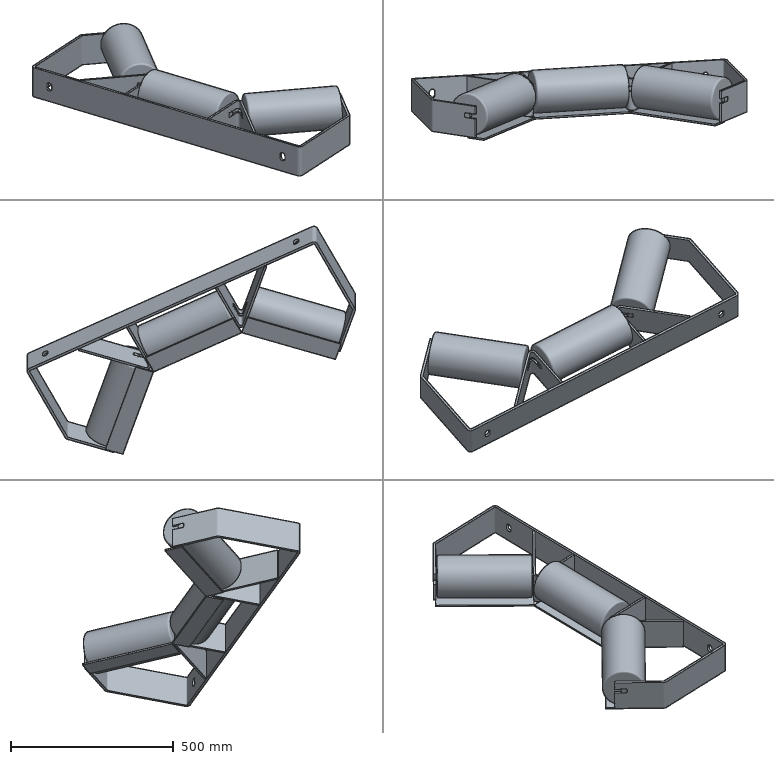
import cadquery as cq
import math


strip_height = 100.0
trough_angle = 45.0
roller_space = 299.0

frame_length = 1000.0
frame_thickness = 8.0
frame_bend_radius = 12.0
arm_length = 155.0
mount_slot_width = 18.0
mount_slot_height = 27.0
mount_slot_x = 433.0

bracket_thickness = 7.0
bracket_bend_radius = 14.0

roller_diameter = 133.0
roller_length = 292.0
rim_radius = 5.5
axle_diameter = 20.0
axle_flats = 15.0
axle_z = 67.5
level_roller_y = 126.0
side_roller_x = -299.5
side_roller_y = 249.84

guard_length = 303.0
guard_width = 56.5
guard_thickness = 5.5

seat_reach = 60.0
seat_overrun = 5.0

half_length = frame_length / 2
half_space = roller_space / 2
half_roller = roller_length / 2
cos_trough = math.cos(math.radians(trough_angle))
sin_trough = math.sin(math.radians(trough_angle))

axle_length = roller_space + 2 * bracket_thickness
seat_end = axle_length / 2 + seat_overrun

arm_offset = half_space + frame_thickness
arm_face_x = side_roller_x - arm_offset * cos_trough
arm_face_y = side_roller_y + arm_offset * sin_trough
side_corner_y = arm_face_y - (arm_face_x + half_length) * math.tan(math.radians(90 - trough_angle))

leg_face_x = side_roller_x + half_space * cos_trough
leg_face_y = side_roller_y - half_space * sin_trough


def place_level(body):
    return body.translate((0, level_roller_y, 0))


def place_left(body):
    turned = body.rotate((0, 0, 0), (0, 0, 1), -trough_angle)
    return turned.translate((side_roller_x, side_roller_y, 0))


def mirror_right(body):
    return body.mirror("YZ")


def make_axle(length):
    """Round bar along X with a flat above and below."""
    bar = cq.Workplane("YZ", origin=(-length / 2, 0, 0)).circle(axle_diameter / 2).extrude(length)
    flats = cq.Workplane("XY").box(length, axle_diameter, axle_flats)
    return bar.intersect(flats).translate((0, 0, axle_z))


def make_axle_seat(start_x, end_x):
    """Cutter with the axle section, open toward +Y."""
    length = end_x - start_x
    opening = cq.Workplane("XY").box(length, seat_reach, axle_flats, centered=(True, False, True))
    cutter = make_axle(length).union(opening.translate((0, 0, axle_z)))
    return cutter.translate(((start_x + end_x) / 2, 0, 0))


def make_roller():
    drum = (
        cq.Workplane("YZ", origin=(-half_roller, 0, axle_z))
        .circle(roller_diameter / 2)
        .extrude(roller_length)
        .faces("<X or >X")
        .edges()
        .fillet(rim_radius)
    )
    return drum.union(make_axle(axle_length))


def make_guard():
    plate = cq.Workplane("XY").box(guard_length, guard_width, guard_thickness, centered=(True, False, False))
    return plate.translate((0, 0, -guard_thickness))


def frame_outline():
    """Sharp-cornered outline, and the outer and inner Y of each bend."""
    end_x = half_length - arm_length * cos_trough
    end_y = side_corner_y + arm_length * sin_trough
    inner_x = half_length - frame_thickness
    inner_corner_y = side_corner_y - frame_thickness * math.tan(math.radians(trough_angle / 2))
    outer_right = [(half_length, 0), (half_length, side_corner_y), (end_x, end_y)]
    inner_right = [
        (end_x - frame_thickness * sin_trough, end_y - frame_thickness * cos_trough),
        (inner_x, inner_corner_y),
        (inner_x, frame_thickness),
    ]
    right_side = outer_right + inner_right
    left_side = [(-x, y) for x, y in reversed(right_side)]
    bend_ys = [(0, frame_thickness), (side_corner_y, inner_corner_y)]
    return right_side + left_side, bend_ys


def round_upright_edge(body, x, y, radius):
    edge = cq.selectors.NearestToPointSelector((x, y, strip_height / 2))
    return body.edges(edge).fillet(radius)


def make_frame():
    outline, bend_ys = frame_outline()
    frame = cq.Workplane("XY").polyline(outline).close().extrude(strip_height)
    inner_x = half_length - frame_thickness
    for side in (-1, 1):
        for outer_y, inner_y in bend_ys:
            frame = round_upright_edge(frame, side * half_length, outer_y, frame_bend_radius)
            frame = round_upright_edge(frame, side * inner_x, inner_y, frame_bend_radius - frame_thickness)
    mount_slots = (
        cq.Workplane("XZ")
        .pushPoints([(side * mount_slot_x, strip_height / 2) for side in (-1, 1)])
        .slot2D(mount_slot_height, mount_slot_width, 90)
        .extrude(-frame_thickness)
    )
    arm_seat = place_left(make_axle_seat(-seat_end, -half_roller))
    return frame.cut(mount_slots).cut(arm_seat).cut(mirror_right(arm_seat))


def make_left_bracket():
    wall_x = -half_space
    foot_y = frame_thickness
    inner_radius = bracket_bend_radius - bracket_thickness
    leg_angle = 180 - trough_angle
    bend_x = wall_x - bracket_bend_radius
    leg_slope = math.tan(math.radians(90 - trough_angle))
    bend_y = leg_face_y + (bend_x - leg_face_x) * leg_slope - bracket_bend_radius / sin_trough

    def on_bend(radius, angle):
        turn = math.radians(angle)
        return (bend_x + radius * math.cos(turn), bend_y + radius * math.sin(turn))

    leg_start = on_bend(inner_radius, leg_angle)
    foot_inner = (leg_start[0] - (leg_start[1] - foot_y) / leg_slope, foot_y)
    foot_outer = (
        foot_inner[0] - bracket_thickness * cos_trough,
        foot_y + bracket_thickness * sin_trough,
    )
    bracket = (
        cq.Workplane("XY")
        .moveTo(wall_x, foot_y)
        .lineTo(wall_x, bend_y)
        .threePointArc(on_bend(bracket_bend_radius, leg_angle / 2), on_bend(bracket_bend_radius, leg_angle))
        .lineTo(*foot_outer)
        .lineTo(*foot_inner)
        .lineTo(*leg_start)
        .threePointArc(on_bend(inner_radius, leg_angle / 2), on_bend(inner_radius, 0))
        .lineTo(wall_x - bracket_thickness, foot_y)
        .close()
        .extrude(strip_height)
    )
    wall_seat = place_level(make_axle_seat(-seat_end, -half_roller))
    leg_seat = place_left(make_axle_seat(half_roller, seat_end))
    return bracket.cut(wall_seat).cut(leg_seat)


def along_all_axes(body):
    """Separate copies at the left, level and right roller axes."""
    left = place_left(body)
    return [left, place_level(body), mirror_right(left)]


frame = make_frame()
left_bracket = make_left_bracket()
brackets = [left_bracket, mirror_right(left_bracket)]
rollers = along_all_axes(make_roller())
guards = along_all_axes(make_guard())

bodies = [frame, *brackets, *rollers, *guards]
result = cq.Compound.makeCompound([body.solids().val() for body in bodies])